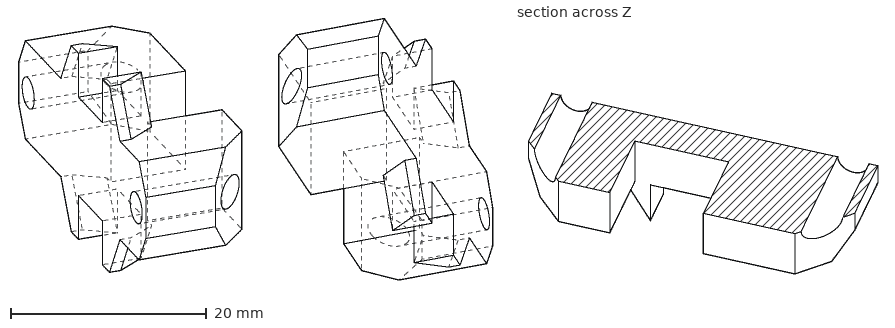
import cadquery as cq

length = 35.1
depth = 12.5
body_height = 11.1
total_height = 21.0
end_chamfer_x = 1.85
end_chamfer_z = 3.23
back_chamfer = 4.85

hole_diameter = 3.35
hole_spacing = 29.75

ear_center_x = 2.25
ear_depth = 4.28
ear_gap = 6.55
ear_tip_width = 2.0
ear_root_width = 4.88
ear_straight_depth = 1.23
ear_taper_x = ear_tip_width

channel_left = -2.85
channel_right = 7.2


def prism_along_y(points, y_start, y_length):
    """Extrude an XZ outline toward +Y."""
    plane = cq.Workplane("XZ", origin=(0, y_start, 0))
    return plane.polyline(points).close().extrude(-y_length)


def make_body():
    half_x = length / 2
    half_z = body_height / 2
    back_x = half_x - back_chamfer
    shoulder_y = depth - back_chamfer
    plan = [
        (-half_x, 0), (half_x, 0), (half_x, shoulder_y),
        (back_x, depth), (-back_x, depth), (-half_x, shoulder_y),
    ]
    block = cq.Workplane("XY", origin=(0, 0, -half_z)).polyline(plan).close().extrude(body_height)
    flat_x = half_x - end_chamfer_x
    flat_z = half_z - end_chamfer_z
    octagon = [
        (-flat_x, -half_z), (flat_x, -half_z), (half_x, -flat_z), (half_x, flat_z),
        (flat_x, half_z), (-flat_x, half_z), (-half_x, flat_z), (-half_x, -flat_z),
    ]
    return block.intersect(prism_along_y(octagon, 0, depth))


def make_ear(side_x, side_z):
    """One ear whose sloping outer side leans inward toward the back."""
    root_z = side_z * body_height / 2
    tip_z = side_z * total_height / 2
    inner_x = ear_center_x + side_x * ear_gap / 2
    tip_x = inner_x + side_x * ear_tip_width
    root_x = inner_x + side_x * ear_root_width
    outline = [(inner_x, 0), (inner_x, tip_z), (tip_x, tip_z), (root_x, root_z), (root_x, 0)]
    ear = prism_along_y(outline, 0, ear_depth)

    run = root_x - tip_x
    drop = root_z - tip_z
    start_x = tip_x - run
    start_z = tip_z - drop
    wedge_corners = [
        cq.Vector(start_x, ear_straight_depth, start_z),
        cq.Vector(start_x - side_x * ear_taper_x, ear_depth, start_z),
        cq.Vector(start_x + 2 * run, ear_depth, start_z),
        cq.Vector(start_x + 2 * run, ear_straight_depth, start_z),
    ]
    wedge_profile = cq.Wire.makePolygon(wedge_corners, close=True)
    wedge = cq.Solid.extrudeLinear(wedge_profile, [], cq.Vector(2 * run, 0, 2 * drop))
    return ear.cut(cq.Workplane(obj=wedge))


def make_channel():
    width = channel_right - channel_left
    corner = cq.Workplane("XY", origin=(channel_left, ear_depth, 0))
    return corner.box(width, depth - ear_depth, total_height, centered=(False, False, True))


def make_holes():
    centers = [(-hole_spacing / 2, 0), (hole_spacing / 2, 0)]
    return cq.Workplane("XZ").pushPoints(centers).circle(hole_diameter / 2).extrude(-depth)


result = make_body().cut(make_channel())
for side_x in (-1, 1):
    for side_z in (-1, 1):
        result = result.union(make_ear(side_x, side_z))
result = result.cut(make_holes())